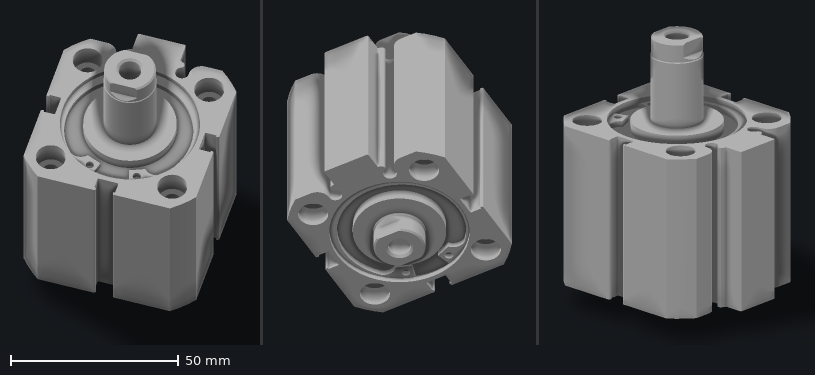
import cadquery as cq
import math


BODY_HEIGHT = 51.0
HALF_SIDE = 27.0
CORNER_ROUND_R = 34.0
BORE_R = 21.0

BOLT_PITCH = 38.0
BOLT_HOLE_D = 5.2
COUNTERBORE_D = 9.0
COUNTERBORE_DEPTH = 7.0

SLOT_WIDTH = 6.5
SLOT_MOUTH_WIDTH = 5.4
SLOT_DEPTH = 4.5
SLOT_LIP = 0.9
LIP_ROUND_R = 0.5
SLOT_FLOOR_R = 0.3
SLOT_ANGLES = (0, 180, 270)

RAIL_HALF_WIDTH = 7.5
RAIL_TOP_Y = 33.0
RAIL_EDGE_R = 0.5
SHOULDER_R = 4.0
GROOVE_R = 2.05
GROOVE_X = 9.35
GROOVE_Y = 22.7
GROOVE_END_ANGLE = math.radians(46)
NOSE_LOW = (8.9, 24.7)
NOSE_TIP = (9.25, 25.5)
NOSE_HIGH = (9.0, 26.3)

COVER_RECESS = 3.5
COVER_THICKNESS = 10.0
COLLAR_R = 14.0
RING_THICKNESS = 1.85
RING_OUTER_R = 22.25
RING_INNER_R = 19.35
RING_INNER_OFFSET = 1.3
LUG_ROOT_X = 14.25
LUG_HOLLOW = (11.8, -15.2)
LUG_CREST = (9.0, -13.8)
LUG_TIP = (4.5, -15.65)
LUG_FOOT_X = 6.15
LUG_HOLE_D = 2.5
LUG_HOLE_CENTER = (7.35, -17.15)

ROD_R = 8.0
ROD_TOP_REACH = 27.0
ROD_BOTTOM_REACH = 7.0
NECK_R = 7.75
NECK_LENGTH = 6.0
NECK_CHAMFER = 0.5
FLAT_HALF_WIDTH = 6.5
FLAT_LENGTH = 4.5
TAP_R = 3.4
TAP_DEPTH = 13.0
TAP_MOUTH_R = 4.1
TAP_POINT_ANGLE = math.radians(59)


def mirrored_to_bottom(body):
    """Return a copy of an upper-end body placed at the lower end of the housing."""
    return body.mirror("XY", (0, 0, BODY_HEIGHT / 2))



def housing_block():
    square = cq.Workplane("XY").rect(2 * HALF_SIDE, 2 * HALF_SIDE).extrude(BODY_HEIGHT)
    corner_cylinder = cq.Workplane("XY").circle(CORNER_ROUND_R).extrude(BODY_HEIGHT)
    return square.intersect(corner_cylinder)


def rail_groove(side):
    """Open groove beside the rail; side is +1 or -1 along X."""
    def at(x, y):
        return (side * x, y)

    wall_x = GROOVE_X + GROOVE_R
    shoulder_x = wall_x + SHOULDER_R
    shoulder_y = HALF_SIDE - SHOULDER_R
    diagonal = math.sqrt(0.5)
    groove_end = at(
        GROOVE_X - GROOVE_R * math.cos(GROOVE_END_ANGLE),
        GROOVE_Y + GROOVE_R * math.sin(GROOVE_END_ANGLE),
    )
    return (
        cq.Workplane("XY")
        .moveTo(*at(shoulder_x, HALF_SIDE))
        .threePointArc(
            at(shoulder_x - SHOULDER_R * diagonal, shoulder_y + SHOULDER_R * diagonal),
            at(wall_x, shoulder_y),
        )
        .lineTo(*at(wall_x, GROOVE_Y))
        .threePointArc(at(GROOVE_X, GROOVE_Y - GROOVE_R), groove_end)
        .lineTo(*at(*NOSE_LOW))
        .threePointArc(at(*NOSE_TIP), at(*NOSE_HIGH))
        .lineTo(*at(RAIL_HALF_WIDTH, HALF_SIDE))
        .close()
        .extrude(BODY_HEIGHT)
    )


def sensor_rail():
    return (
        cq.Workplane("XY")
        .moveTo(0, (HALF_SIDE + RAIL_TOP_Y) / 2)
        .rect(2 * RAIL_HALF_WIDTH, RAIL_TOP_Y - HALF_SIDE)
        .extrude(BODY_HEIGHT)
        .faces(">Y")
        .edges("|Z")
        .fillet(RAIL_EDGE_R)
    )


def sensor_slot(angle):
    """Lipped slot in the +X face, turned about Z to the given side."""
    half_slot = SLOT_WIDTH / 2
    half_mouth = SLOT_MOUTH_WIDTH / 2
    floor_x = HALF_SIDE - SLOT_DEPTH
    lip_x = HALF_SIDE - SLOT_LIP
    round_x = HALF_SIDE - LIP_ROUND_R
    round_y = half_mouth + LIP_ROUND_R
    middle = LIP_ROUND_R * math.sqrt(0.5)
    return (
        cq.Workplane("XY")
        .moveTo(floor_x, -half_slot)
        .lineTo(lip_x, -half_slot)
        .lineTo(lip_x, -half_mouth)
        .lineTo(round_x, -half_mouth)
        .threePointArc((round_x + middle, middle - round_y), (HALF_SIDE, -round_y))
        .lineTo(HALF_SIDE, round_y)
        .threePointArc((round_x + middle, round_y - middle), (round_x, half_mouth))
        .lineTo(lip_x, half_mouth)
        .lineTo(lip_x, half_slot)
        .lineTo(floor_x, half_slot)
        .close()
        .extrude(BODY_HEIGHT)
        .faces("<X")
        .edges("|Z")
        .fillet(SLOT_FLOOR_R)
        .rotate((0, 0, 0), (0, 0, 1), angle)
    )


def bolt_holes():
    pattern = cq.Workplane("XY").rect(BOLT_PITCH, BOLT_PITCH, forConstruction=True).vertices()
    through = pattern.circle(BOLT_HOLE_D / 2).extrude(BODY_HEIGHT)
    lower = pattern.circle(COUNTERBORE_D / 2).extrude(COUNTERBORE_DEPTH)
    return through.union(lower).union(mirrored_to_bottom(lower))


def ring_groove():
    """Groove of the upper retaining ring in the bore wall."""
    return (
        cq.Workplane("XY", origin=(0, 0, BODY_HEIGHT - COVER_RECESS))
        .circle(RING_OUTER_R)
        .extrude(RING_THICKNESS)
    )


def make_housing():
    body = housing_block()
    for side in (1, -1):
        body = body.cut(rail_groove(side))
    body = body.union(sensor_rail())
    for angle in SLOT_ANGLES:
        body = body.cut(sensor_slot(angle))
    bore = cq.Workplane("XY").circle(BORE_R).extrude(BODY_HEIGHT)
    groove = ring_groove()
    return body.cut(bore).cut(groove).cut(mirrored_to_bottom(groove)).cut(bolt_holes())



def make_cover():
    """Bearing cover of the upper end: a disc in the bore with a flush collar."""
    seat_z = BODY_HEIGHT - COVER_RECESS
    return (
        cq.Workplane("XY", origin=(0, 0, seat_z - COVER_THICKNESS))
        .circle(BORE_R)
        .extrude(COVER_THICKNESS)
        .faces(">Z")
        .workplane()
        .circle(COLLAR_R)
        .extrude(COVER_RECESS)
        .cut(cq.Workplane("XY").circle(ROD_R).extrude(BODY_HEIGHT))
    )


def make_retaining_ring():
    """Eccentric internal ring, open towards -Y, with a drilled lug at each end."""
    root_y = -RING_INNER_OFFSET - math.sqrt(RING_INNER_R**2 - LUG_ROOT_X**2)
    foot_y = -math.sqrt(RING_OUTER_R**2 - LUG_FOOT_X**2)

    def mirrored(point):
        return (-point[0], point[1])

    root = (LUG_ROOT_X, root_y)
    foot = (LUG_FOOT_X, foot_y)
    return (
        cq.Workplane("XY", origin=(0, 0, BODY_HEIGHT - COVER_RECESS))
        .moveTo(*foot)
        .threePointArc((0, RING_OUTER_R), mirrored(foot))
        .lineTo(*mirrored(LUG_TIP))
        .lineTo(*mirrored(LUG_CREST))
        .threePointArc(mirrored(LUG_HOLLOW), mirrored(root))
        .threePointArc((0, RING_INNER_R - RING_INNER_OFFSET), root)
        .threePointArc(LUG_HOLLOW, LUG_CREST)
        .lineTo(*LUG_TIP)
        .close()
        .pushPoints([LUG_HOLE_CENTER, mirrored(LUG_HOLE_CENTER)])
        .circle(LUG_HOLE_D / 2)
        .extrude(RING_THICKNESS)
    )



def wrench_flat_cut(side, end_z, inward):
    """Wedge removed beside one wrench flat, running out at 45 degrees."""
    run_out = ROD_R - FLAT_HALF_WIDTH
    return (
        cq.Workplane("YZ")
        .moveTo(side * FLAT_HALF_WIDTH, end_z)
        .lineTo(side * FLAT_HALF_WIDTH, end_z + inward * FLAT_LENGTH)
        .lineTo(side * ROD_R, end_z + inward * (FLAT_LENGTH + run_out))
        .lineTo(side * ROD_R, end_z)
        .close()
        .extrude(ROD_R, both=True)
    )


def tapped_hole(end_z, inward):
    """Blind hole with a chamfered mouth and a conical drill point."""
    mouth_depth = TAP_MOUTH_R - TAP_R
    point_depth = TAP_DEPTH + TAP_R / math.tan(TAP_POINT_ANGLE)
    return (
        cq.Workplane("XZ")
        .moveTo(0, end_z)
        .lineTo(TAP_MOUTH_R, end_z)
        .lineTo(TAP_R, end_z + inward * mouth_depth)
        .lineTo(TAP_R, end_z + inward * TAP_DEPTH)
        .lineTo(0, end_z + inward * point_depth)
        .close()
        .revolve(360, (0, 0), (0, 1))
    )


def make_rod():
    top_z = BODY_HEIGHT + ROD_TOP_REACH
    bottom_z = -ROD_BOTTOM_REACH
    shoulder_chamfer = ROD_R - NECK_R
    body = (
        cq.Workplane("XZ")
        .moveTo(0, bottom_z)
        .lineTo(NECK_R - NECK_CHAMFER, bottom_z)
        .lineTo(NECK_R, bottom_z + NECK_CHAMFER)
        .lineTo(NECK_R, bottom_z + NECK_LENGTH)
        .lineTo(ROD_R, bottom_z + NECK_LENGTH + shoulder_chamfer)
        .lineTo(ROD_R, top_z - NECK_LENGTH - shoulder_chamfer)
        .lineTo(NECK_R, top_z - NECK_LENGTH)
        .lineTo(NECK_R, top_z - NECK_CHAMFER)
        .lineTo(NECK_R - NECK_CHAMFER, top_z)
        .lineTo(0, top_z)
        .close()
        .revolve(360, (0, 0), (0, 1))
    )
    for end_z, inward in ((top_z, -1), (bottom_z, 1)):
        for side in (1, -1):
            body = body.cut(wrench_flat_cut(side, end_z, inward))
        body = body.cut(tapped_hole(end_z, inward))
    return body


housing = make_housing()
upper_cover = make_cover()
upper_ring = make_retaining_ring()
covers = [upper_cover, mirrored_to_bottom(upper_cover)]
rings = [upper_ring, mirrored_to_bottom(upper_ring)]
rod = make_rod()

result = cq.Compound.makeCompound(
    [
        housing.val(),
        *[cover.val() for cover in covers],
        *[ring.val() for ring in rings],
        rod.val(),
    ]
)